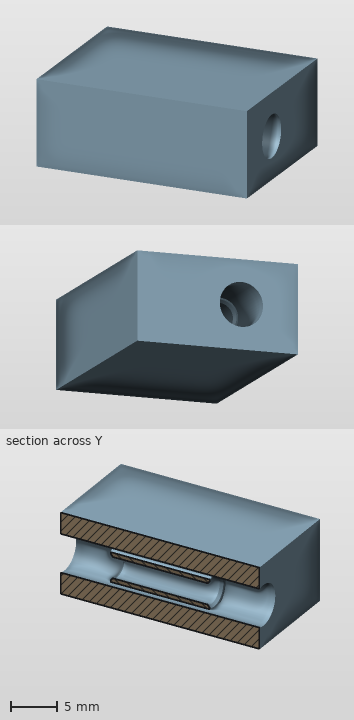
import cadquery as cq
import math

length = 24.9
depth = 18.5
height = 10.0

passage_radius = 2.5
passage_from_front = 6.5
passage_y = passage_from_front - depth / 2

clamp_length = 12.45
nose_radius = 2.1
nose_from_front = 6.62
nose_y = nose_from_front - depth / 2
flank_angle = math.radians(5)
tail_grip = 1.0
tail_end_y = passage_y + passage_radius + tail_grip

bore_radius = 1.6
bore_chamfer = 0.3


def make_cylinder(radius, span, centre_y):
    """Cylinder along X, centred on X = 0 at mid height."""
    return cq.Workplane("YZ").center(centre_y, 0).circle(radius).extrude(span / 2, both=True)


def make_clamp_blank():
    """Clamp without its bore: a nose arc with tangent flanks that converge towards +Y."""
    tangent_y = nose_y + nose_radius * math.sin(flank_angle)
    tangent_z = nose_radius * math.cos(flank_angle)
    tail_half_height = tangent_z - (tail_end_y - tangent_y) * math.tan(flank_angle)
    return (
        cq.Workplane("YZ")
        .moveTo(tangent_y, tangent_z)
        .threePointArc((nose_y - nose_radius, 0), (tangent_y, -tangent_z))
        .lineTo(tail_end_y, -tail_half_height)
        .lineTo(tail_end_y, tail_half_height)
        .close()
        .extrude(clamp_length / 2, both=True)
    )


def make_housing():
    """Block with the wire passage and a closed recess that fits the clamp tail."""
    block = cq.Workplane("XY").box(length, depth, height)
    passage = make_cylinder(passage_radius, length, passage_y)
    return block.cut(passage).cut(make_clamp_blank())


def make_clamp():
    """Clamp with its wire bore and the chamfers at the bore mouths."""
    bore = make_cylinder(bore_radius, clamp_length, nose_y)
    bored_clamp = make_clamp_blank().cut(bore)
    smallest_radius = cq.selectors.RadiusNthSelector(0)
    return bored_clamp.edges("%CIRCLE").edges(smallest_radius).chamfer(bore_chamfer)


housing = make_housing()
clamp = make_clamp()

result = cq.Compound.makeCompound([housing.solids().val(), clamp.solids().val()])